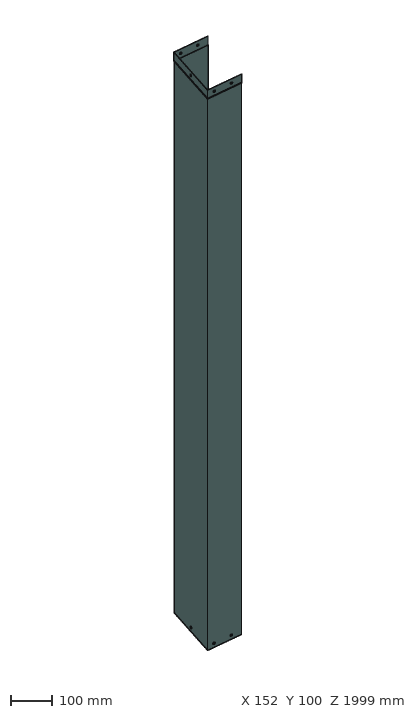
import cadquery as cq

width = 152.0
depth = 100.0
length = 1999.0

sheet = 1.0
lip_height = 32.0
lip_step = 1.0

hole_diameter = 7.0
hole_inset = 15.0
front_hole_offset = 20.0
rear_hole_offset = 30.0

front = -depth / 2
back = depth / 2
bottom = -length / 2
top = length / 2


def channel(inset, z_start, height):
    """U-shaped sheet, open to +Y, with its outer faces moved inward by inset."""
    half_outer = width / 2 - inset
    half_inner = half_outer - sheet
    outer_front = front + inset
    inner_front = outer_front + sheet
    return (
        cq.Workplane("XY", origin=(0, 0, z_start))
        .moveTo(-half_outer, back)
        .lineTo(-half_outer, outer_front)
        .lineTo(half_outer, outer_front)
        .lineTo(half_outer, back)
        .lineTo(half_inner, back)
        .lineTo(half_inner, inner_front)
        .lineTo(-half_inner, inner_front)
        .lineTo(-half_inner, back)
        .close()
        .extrude(height)
    )


def front_hole(z):
    """Cutter through the front web, on its centre line."""
    cut_depth = depth / 2
    return (
        cq.Workplane("XZ", origin=(0, 0, z))
        .circle(hole_diameter / 2)
        .extrude(cut_depth)
    )


def side_holes(z):
    """Cutters through both side walls, one near the front and one near the back."""
    hole_places = [(front + front_hole_offset, 0), (back - rear_hole_offset, 0)]
    return (
        cq.Workplane("YZ", origin=(0, 0, z))
        .pushPoints(hole_places)
        .circle(hole_diameter / 2)
        .extrude(width / 2, both=True)
    )


lip_start = top - lip_height
body = channel(lip_step, bottom, length - lip_height)
step_band = channel(lip_step, lip_start, sheet)
lip = channel(0, lip_start, lip_height)
result = body.union(step_band).union(lip)

for hole_z in (top - hole_inset, bottom + hole_inset):
    result = result.cut(front_hole(hole_z)).cut(side_holes(hole_z))